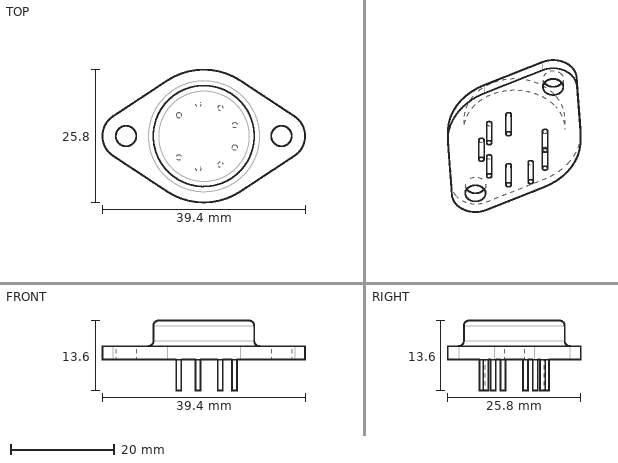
import cadquery as cq
import math

flange_length = 39.37
flange_width = 25.83
total_height = 13.62

flange_thickness = 2.65
hole_spacing = 30.15
hole_diameter = 3.95

cap_diameter = 19.6
cap_top_fillet = 1.02
cap_foot_fillet = 1.0

pin_diameter = 1.02
pin_length = 6.02
pin_circle_diameter = 12.7
pin_pitch_angle = 40.0
pin_count = 8
first_pin_angle = -140.0

cap_height = total_height - pin_length - flange_thickness
middle_radius = flange_width / 2
hole_x = hole_spacing / 2
end_radius = flange_length / 2 - hole_x

pick_margin = 0.05


def make_flange():
    tangent_cos = (middle_radius - end_radius) / hole_x
    tangent_sin = math.sqrt(1 - tangent_cos**2)
    middle_x = middle_radius * tangent_cos
    middle_y = middle_radius * tangent_sin
    end_x = hole_x + end_radius * tangent_cos
    end_y = end_radius * tangent_sin
    return (
        cq.Workplane("XY")
        .moveTo(-middle_x, middle_y)
        .threePointArc((0, middle_radius), (middle_x, middle_y))
        .lineTo(end_x, end_y)
        .threePointArc((flange_length / 2, 0), (end_x, -end_y))
        .lineTo(middle_x, -middle_y)
        .threePointArc((0, -middle_radius), (-middle_x, -middle_y))
        .lineTo(-end_x, -end_y)
        .threePointArc((-flange_length / 2, 0), (-end_x, end_y))
        .close()
        .extrude(flange_thickness)
        .pushPoints([(-hole_x, 0), (hole_x, 0)])
        .circle(hole_diameter / 2)
        .cutThruAll()
    )


def make_housing():
    cap = (
        cq.Workplane("XY")
        .workplane(offset=flange_thickness)
        .circle(cap_diameter / 2)
        .extrude(cap_height)
        .faces(">Z")
        .edges()
        .fillet(cap_top_fillet)
    )
    foot_reach = cap_diameter / 2 + pick_margin
    foot_box = cq.selectors.BoxSelector(
        (-foot_reach, -foot_reach, flange_thickness - pick_margin),
        (foot_reach, foot_reach, flange_thickness + pick_margin),
        boundingbox=True,
    )
    return make_flange().union(cap).edges(foot_box).fillet(cap_foot_fillet)


def make_pin(angle):
    radius = pin_circle_diameter / 2
    x = radius * math.cos(math.radians(angle))
    y = radius * math.sin(math.radians(angle))
    return cq.Workplane("XY").center(x, y).circle(pin_diameter / 2).extrude(-pin_length)


housing = make_housing()
pins = [make_pin(first_pin_angle + i * pin_pitch_angle) for i in range(pin_count)]

result = cq.Compound.makeCompound([housing.val(), *[pin.val() for pin in pins]])